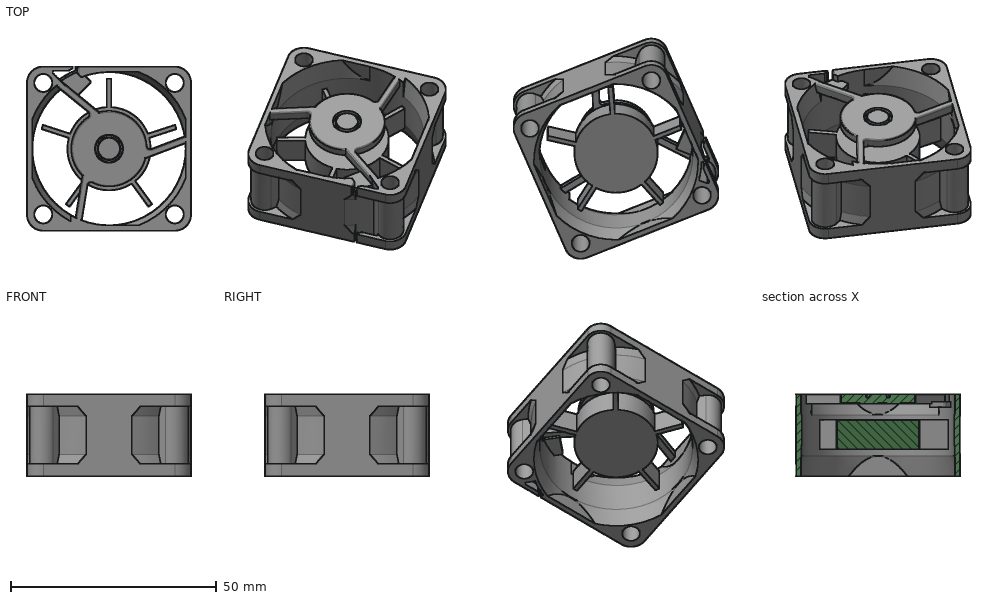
import cadquery as cq
import math

SIDE = 40.0
HEIGHT = 20.0
CORNER_RADIUS = 4.0
FLANGE_THICKNESS = 3.0
HOLE_SPACING = 32.0
HOLE_DIAMETER = 4.3
POST_RADIUS = 3.3

BORE_RADIUS = 18.65
FLARE_RADIUS = 20.0
FLARE_DEPTH = 5.05
FLARE_HALF_WIDTH = 18.7
DUCT_WALL = 2.1
FLARE_ANGLE = math.atan((FLARE_RADIUS - BORE_RADIUS) / FLARE_DEPTH)
DUCT_OUTER_RADIUS = BORE_RADIUS + DUCT_WALL
FILL_EDGE_X = -9.35

DISC_RADIUS = 9.2
DISC_THICKNESS = 2.1
ARM_DEPTH = 2.4
ARM_COUNT = 3
ARM_WIDTH = 1.65
ARM_ANGLE = 20.7
ARM_OFFSET = 4.5
ARM_ROOT_FILLET = 0.8
STATOR_EDGE_FILLET = 0.3
GROOVE_INNER_RADIUS = 2.65
GROOVE_OUTER_RADIUS = 3.45
GROOVE_DEPTH = 0.8
GROOVE_DRAFT = 0.15

LIP_INNER_Y = 18.95
LIP_ROOT_X = -13.7
LIP_ROOT_FILLET = 0.3
LIP_STEP_Y = 19.45
LIP_TAPER_X = -9.75
LIP_STEP_X = -9.1
SLOT_LEFT_X = -8.8
SLOT_RIGHT_X = -8.15
NOTCH_RIGHT_X = -7.7
CHANNEL_SUM = 10.65
LEDGE_Z = 18.15
LEDGE_RADIUS = 20.2
TAB_SUM = 11.95
TAB_DIFFERENCE = 20.5
TAB_THICKNESS = 1.35
TAB_CORNER_FILLET = 0.4
NOTCH_EDGE_FILLET = 0.3
NOTCH_CHAMFER = 0.3

ROTOR_RADIUS = 10.15
ROTOR_TOP = 13.7
ROTOR_HEIGHT = 7.2
BLADE_COUNT = 5
BLADE_WIDTH = 1.1
BLADE_TIP_RADIUS = 17.1

HALF = SIDE / 2
HOLE_POSITION = HOLE_SPACING / 2
POST_SIDE = POST_RADIUS * math.sqrt(2)


def disc(radius, bottom, top):
    return cq.Workplane("XY").workplane(offset=bottom).circle(radius).extrude(top - bottom)


def prism(points, bottom, top):
    return cq.Workplane("XY").workplane(offset=bottom).polyline(points).close().extrude(top - bottom)


def revolved(points):
    return cq.Workplane("XZ").polyline(points).close().revolve(360, (0, 0, 0), (0, 1, 0))


def near(x, y, z):
    return cq.selectors.NearestToPointSelector((x, y, z))


def make_duct_and_posts():
    """Flared tube trimmed to the square, with a post behind each corner hole."""
    flare_start = FLARE_DEPTH + DUCT_WALL * math.tan(FLARE_ANGLE / 2)
    end_radius = DUCT_OUTER_RADIUS + flare_start * math.tan(FLARE_ANGLE)
    duct = revolved([
        (0, 0),
        (end_radius, 0),
        (DUCT_OUTER_RADIUS, flare_start),
        (DUCT_OUTER_RADIUS, HEIGHT - flare_start),
        (end_radius, HEIGHT),
        (0, HEIGHT),
    ])
    duct = duct.intersect(cq.Workplane("XY").box(SIDE, SIDE, HEIGHT, centered=(True, True, False)))
    post_reach = HOLE_POSITION * math.sqrt(2)
    for corner in range(4):
        post = cq.Workplane("XY").rect(post_reach, 2 * POST_RADIUS).extrude(HEIGHT)
        post = post.translate((post_reach / 2, 0, 0))
        post = post.union(disc(POST_RADIUS, 0, HEIGHT).translate((post_reach, 0, 0)))
        duct = duct.union(post.rotate((0, 0, 0), (0, 0, 1), 45 + 90 * corner))
    return duct


def make_flange(bottom):
    flange = cq.Workplane("XY").workplane(offset=bottom).rect(SIDE, SIDE).extrude(FLANGE_THICKNESS)
    return flange.edges("|Z").fillet(CORNER_RADIUS)


def make_bottom_flare():
    flare = revolved([(0, 0), (FLARE_RADIUS, 0), (BORE_RADIUS, FLARE_DEPTH), (0, FLARE_DEPTH)])
    width = 2 * FLARE_HALF_WIDTH
    return flare.intersect(cq.Workplane("XY").rect(width, width).extrude(FLARE_DEPTH))


def make_top_flare():
    """Mirror image of the bottom flare, without the two stretches that stay solid."""
    flare = make_bottom_flare().mirror("XY").translate((0, 0, HEIGHT))
    solid_bottom = [(FILL_EDGE_X, 0), (0, 0), (0, -SIDE), (FILL_EDGE_X, -SIDE)]
    tip_angle = math.radians(ARM_ANGLE + 360 / ARM_COUNT) - math.asin(ARM_OFFSET / FLARE_RADIUS)
    solid_cable_side = [(0, 0), (0, SIDE), (SIDE * math.cos(tip_angle), SIDE * math.sin(tip_angle))]
    kept = prism(solid_bottom, 0, HEIGHT).union(prism(solid_cable_side, 0, HEIGHT))
    return flare.cut(kept).union(disc(BORE_RADIUS, HEIGHT - FLARE_DEPTH, HEIGHT))


def cable_outline(right_points):
    """Outline of the cable exit: lip and post side on the left, the given points on the right."""
    return [
        (LIP_ROOT_X, LIP_INNER_Y),
        (LIP_ROOT_X, POST_SIDE - LIP_ROOT_X),
        *right_points,
        (SLOT_LEFT_X, HALF),
        (SLOT_LEFT_X, LIP_STEP_Y),
        (LIP_STEP_X, LIP_STEP_Y),
        (LIP_TAPER_X, LIP_INNER_Y),
    ]


def on_diagonals(total, difference):
    """Point where x + y = total and y - x = difference."""
    return ((total - difference) / 2, (total + difference) / 2)


def cut_cable_exit(frame):
    """Cable passage through the full height, and a wider notch that lowers the duct wall."""
    passage = prism(cable_outline([
        (SLOT_RIGHT_X, POST_SIDE - SLOT_RIGHT_X),
        (SLOT_RIGHT_X, HALF),
    ]), 0, HEIGHT)
    passage = passage.edges(near(LIP_ROOT_X, LIP_INNER_Y, HEIGHT / 2)).fillet(LIP_ROOT_FILLET)
    passage = passage.cut(disc(DUCT_OUTER_RADIUS, 0, HEIGHT))
    notch_points = cable_outline([
        on_diagonals(POST_SIDE, TAB_DIFFERENCE),
        on_diagonals(CHANNEL_SUM, TAB_DIFFERENCE),
        (NOTCH_RIGHT_X, CHANNEL_SUM - NOTCH_RIGHT_X),
        (NOTCH_RIGHT_X, HALF - NOTCH_CHAMFER),
        (NOTCH_RIGHT_X + NOTCH_CHAMFER, HALF),
    ])
    notch = prism(notch_points, HEIGHT - FLANGE_THICKNESS, HEIGHT)
    notch = notch.edges(near(LIP_ROOT_X, LIP_INNER_Y, LEDGE_Z)).fillet(LIP_ROOT_FILLET)
    notch = notch.cut(disc(LEDGE_RADIUS, 0, LEDGE_Z))
    frame = frame.cut(passage).cut(notch)
    return round_cable_exit(frame)


def round_cable_exit(frame):
    """Rounded top edges along the right side of the notch and the end of the lip."""
    notch_middle_y = (HALF - NOTCH_CHAMFER + CHANNEL_SUM - NOTCH_RIGHT_X) / 2
    frame = frame.edges(near(NOTCH_RIGHT_X, notch_middle_y, HEIGHT)).fillet(NOTCH_EDGE_FILLET)
    return frame.edges(near(SLOT_LEFT_X, (LIP_STEP_Y + HALF) / 2, HEIGHT)).fillet(NOTCH_EDGE_FILLET)


def make_cable_tab():
    """Plate between the duct wall and one arm, level with the lowered wall."""
    bottom = LEDGE_Z - TAB_THICKNESS
    tab = prism([
        on_diagonals(POST_SIDE, TAB_DIFFERENCE),
        on_diagonals(TAB_SUM, TAB_DIFFERENCE),
        on_diagonals(TAB_SUM, SIDE),
        on_diagonals(POST_SIDE, SIDE),
    ], bottom, LEDGE_Z)
    corner_x, corner_y = on_diagonals(TAB_SUM, TAB_DIFFERENCE)
    tab = tab.edges(near(corner_x, corner_y, LEDGE_Z - TAB_THICKNESS / 2)).fillet(TAB_CORNER_FILLET)
    return tab.intersect(disc(LEDGE_RADIUS, bottom, LEDGE_Z))


def make_stator():
    """Disc with three offset arms, rounded along the top, and a ring groove in its face."""
    stator = disc(DISC_RADIUS, HEIGHT - DISC_THICKNESS, HEIGHT)
    arm_side_y = ARM_WIDTH / 2 - ARM_OFFSET
    root_y = arm_side_y + ARM_ROOT_FILLET
    root_x = math.sqrt((DISC_RADIUS + ARM_ROOT_FILLET) ** 2 - root_y ** 2)
    rim_ratio = DISC_RADIUS / (DISC_RADIUS + ARM_ROOT_FILLET)
    rim_point = (root_x * rim_ratio, root_y * rim_ratio)
    rim_direction = math.atan2(-root_y, -root_x) % (2 * math.pi)
    middle = (rim_direction + 1.5 * math.pi) / 2
    middle_point = (root_x + ARM_ROOT_FILLET * math.cos(middle), root_y + ARM_ROOT_FILLET * math.sin(middle))
    arm = (
        cq.Workplane("XY").workplane(offset=HEIGHT - ARM_DEPTH)
        .moveTo(rim_point[0], rim_point[1])
        .threePointArc(middle_point, (root_x, arm_side_y))
        .lineTo(SIDE, arm_side_y)
        .lineTo(SIDE, arm_side_y - ARM_WIDTH)
        .lineTo(0, arm_side_y - ARM_WIDTH)
        .lineTo(0, 0)
        .close()
        .extrude(ARM_DEPTH)
    )
    for index in range(ARM_COUNT):
        angle = ARM_ANGLE + 360 / ARM_COUNT * index
        stator = stator.union(arm.rotate((0, 0, 0), (0, 0, 1), angle))
    stator = stator.faces(">Z").edges().fillet(STATOR_EDGE_FILLET)
    stator = stator.intersect(disc(FLARE_RADIUS, HEIGHT - ARM_DEPTH, HEIGHT))
    floor = HEIGHT - GROOVE_DEPTH
    groove = revolved([
        (GROOVE_INNER_RADIUS, HEIGHT),
        (GROOVE_INNER_RADIUS + GROOVE_DRAFT, floor),
        (GROOVE_OUTER_RADIUS - GROOVE_DRAFT, floor),
        (GROOVE_OUTER_RADIUS, HEIGHT),
    ])
    return stator.cut(groove)


def make_housing():
    frame = make_duct_and_posts()
    frame = frame.union(make_flange(0)).union(make_flange(HEIGHT - FLANGE_THICKNESS))
    frame = frame.cut(disc(BORE_RADIUS, 0, HEIGHT)).cut(make_bottom_flare()).cut(make_top_flare())
    holes = cq.Workplane("XY").rect(HOLE_SPACING, HOLE_SPACING, forConstruction=True).vertices()
    frame = frame.cut(holes.circle(HOLE_DIAMETER / 2).extrude(HEIGHT))
    frame = cut_cable_exit(frame)
    return frame.union(make_cable_tab()).union(make_stator())


def make_rotor():
    bottom = ROTOR_TOP - ROTOR_HEIGHT
    rotor = disc(ROTOR_RADIUS, bottom, ROTOR_TOP)
    blade = cq.Workplane("XY").box(BLADE_TIP_RADIUS, BLADE_WIDTH, ROTOR_HEIGHT, centered=(False, True, False))
    for index in range(BLADE_COUNT):
        angle = 90 + 360 / BLADE_COUNT * index
        rotor = rotor.union(blade.rotate((0, 0, 0), (0, 0, 1), angle).translate((0, 0, bottom)))
    return rotor


housing = make_housing()
rotor = make_rotor()
result = cq.Compound.makeCompound([housing.val(), rotor.val()])